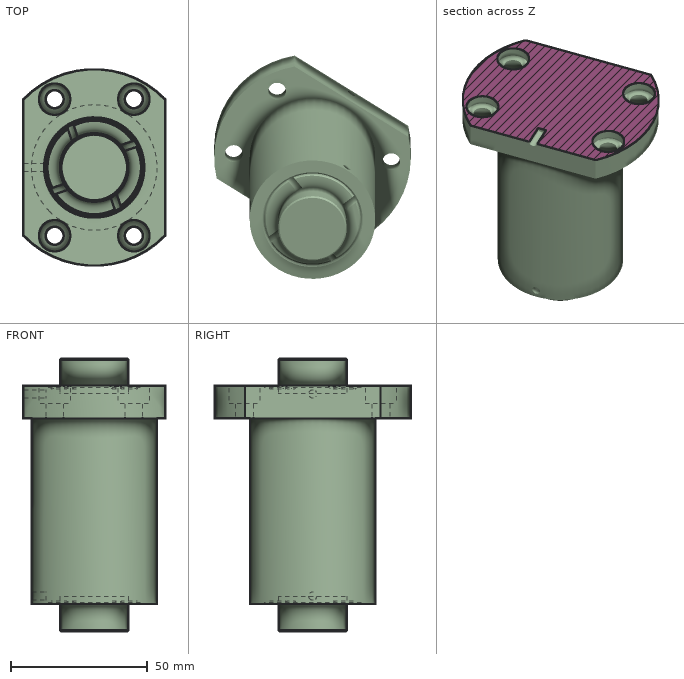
import cadquery as cq

SHAFT_DIAMETER = 25.0
SHAFT_LENGTH = 100.0
SHAFT_OVERHANG = 10.0
SHAFT_CHAMFER = 0.5

BODY_DIAMETER = 46.0
BODY_BOTTOM = SHAFT_OVERHANG
BODY_TOP = SHAFT_LENGTH - SHAFT_OVERHANG
FLANGE_DIAMETER = 72.0
FLANGE_WIDTH = 52.0
FLANGE_THICKNESS = 12.0

MOUNT_SPACING_X = 29.0
MOUNT_SPACING_Y = 50.0
MOUNT_HOLE_DIAMETER = 6.5
COUNTERBORE_DIAMETER = 11.5
COUNTERBORE_DEPTH = 6.5

CAP_DIAMETER = 35.5
CAP_BORE_DIAMETER = 25.2
CAP_THICKNESS = 2.8
CAP_GROOVE_CHAMFER = 0.65
SLOT_WIDTH = 2.5
SLOT_ANGLE = 18.5
SLOT_OFFSET = 3.46
SLOT_COUNT = 4

SCREW_HOLE_DIAMETER = 3.0
SCREW_HOLE_INSET = 3.0


def make_shaft():
    shaft = cq.Workplane("XY").circle(SHAFT_DIAMETER / 2).extrude(SHAFT_LENGTH)
    return shaft.faces("<Z or >Z").chamfer(SHAFT_CHAMFER)


def make_flange():
    disc = cq.Workplane("XY").circle(FLANGE_DIAMETER / 2).extrude(FLANGE_THICKNESS)
    flats = cq.Workplane("XY").box(
        FLANGE_WIDTH, FLANGE_DIAMETER, FLANGE_THICKNESS, centered=(True, True, False)
    )
    flange = (
        disc.intersect(flats)
        .faces(">Z")
        .workplane(origin=(0, 0, 0))
        .rarray(MOUNT_SPACING_X, MOUNT_SPACING_Y, 2, 2)
        .cboreHole(MOUNT_HOLE_DIAMETER, COUNTERBORE_DIAMETER, COUNTERBORE_DEPTH)
    )
    return flange.translate((0, 0, BODY_TOP - FLANGE_THICKNESS))


def make_body():
    body = cq.Workplane("XY").circle(BODY_DIAMETER / 2).extrude(BODY_TOP - BODY_BOTTOM)
    return body.translate((0, 0, BODY_BOTTOM))


def make_cap_groove():
    """Ring with a V section: the facing chamfers of the cap and of its seat in the nut."""
    radius = CAP_DIAMETER / 2
    section = [
        (radius - CAP_GROOVE_CHAMFER, 0),
        (radius + CAP_GROOVE_CHAMFER, 0),
        (radius, -CAP_GROOVE_CHAMFER),
    ]
    return cq.Workplane("XZ").polyline(section).close().revolve(360, (0, 0, 0), (0, 1, 0))


def make_cap_slot(index):
    """Round-bottomed slot across the cap face, beside a radius, from the cap bore to the cap rim."""
    radius = SLOT_WIDTH / 2
    slot = (
        cq.Workplane("YZ")
        .center(SLOT_OFFSET, 0)
        .moveTo(-radius, radius)
        .lineTo(-radius, 0)
        .threePointArc((0, -radius), (radius, 0))
        .lineTo(radius, radius)
        .close()
        .extrude(CAP_DIAMETER)
    )
    cap = cq.Workplane("XY").circle(CAP_DIAMETER / 2).extrude(SLOT_WIDTH, both=True)
    angle = SLOT_ANGLE + index * 360 / SLOT_COUNT
    return slot.intersect(cap).rotate((0, 0, 0), (0, 0, 1), angle)


def make_cap_bore():
    """Bore of the cap, slightly wider than the shaft."""
    return cq.Workplane("XY").circle(CAP_BORE_DIAMETER / 2).extrude(-CAP_THICKNESS)


def make_screw_hole(z):
    hole = cq.Workplane("YZ").circle(SCREW_HOLE_DIAMETER / 2).extrude(-FLANGE_WIDTH / 2)
    cap = cq.Workplane("XY").circle(CAP_DIAMETER / 2).extrude(SCREW_HOLE_DIAMETER, both=True)
    return hole.cut(cap).translate((0, 0, z))


def make_nut():
    nut = make_body().union(make_flange())
    end_cuts = [make_cap_bore(), make_cap_groove()]
    end_cuts += [make_cap_slot(index) for index in range(SLOT_COUNT)]
    for cut in end_cuts:
        nut = nut.cut(cut.translate((0, 0, BODY_TOP)))
        nut = nut.cut(cut.mirror("XY").translate((0, 0, BODY_BOTTOM)))
    for screw_z in (BODY_BOTTOM + SCREW_HOLE_INSET, BODY_TOP - SCREW_HOLE_INSET):
        nut = nut.cut(make_screw_hole(screw_z))
    return nut


result = make_nut().union(make_shaft())